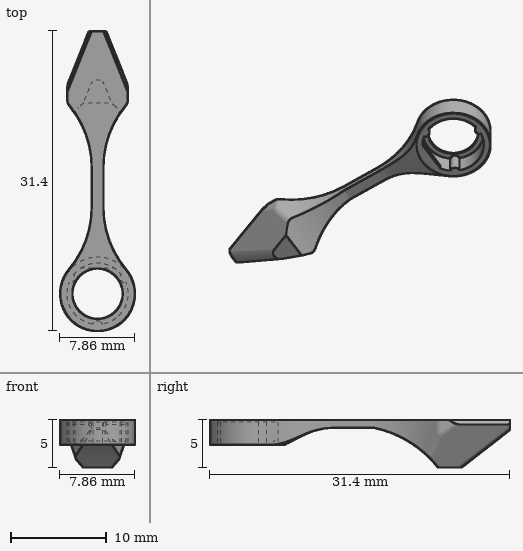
import cadquery as cq
import math

TIP_Y = 27.48
HEIGHT = 5.0

RING_RADIUS = 3.93
RING_DEPTH = 2.65
HOLE_RADIUS = 5.25 / 2
BORE_RADIUS = 3.2
LIP_THICKNESS = 0.22
FLAP_THICKNESS = 0.45
FLAP_Y = 2.7
RIB_TIP_RADIUS = 2.83
RIB_RADIUS = 0.53
RIB_ANGLES = (30, 150, 270)

ARM_HALF_WIDTH = 0.63
ARM_THICKNESS = 0.85
ARM_START_Y = 9.0
ARM_END_Y = 13.25
HEAD_FLARE_RADIUS = 10.05
HEAD_ARCH_MIDDLE = (16.52, -2.07)
RING_ARCH_RADIUS = 6.9
RING_ARCH_ANGLE = 27

HEAD_HALF_WIDTH = 3.17
TIP_HALF_WIDTH = 0.9
TIP_DEPTH = 1.05
KEEL_FRONT_Y = 22.4
KEEL_REAR_Y = 19.95
SIDE_ANGLE = math.atan(0.401)
RIM_DEPTH = 0.47
RIM_SETBACK = 0.28
UNDERCUT_SLOPE = 0.5
CORNER_FILLET = 0.82
TIP_FILLET = 0.25
UNDERCUT_FILLET = 0.8
TOLERANCE = 0.01


def flare_half_width(y):
    """Half width of the arm where it widens into the head."""
    rise = y - ARM_END_Y
    return ARM_HALF_WIDTH + HEAD_FLARE_RADIUS - math.sqrt(HEAD_FLARE_RADIUS**2 - rise**2)


def make_plan():
    """Top outline, extruded over the full height, with rounded head corners."""
    flare_drop = HEAD_HALF_WIDTH - ARM_HALF_WIDTH
    shoulder_y = ARM_END_Y + math.sqrt(flare_drop * (2 * HEAD_FLARE_RADIUS - flare_drop))
    middle_y = (ARM_END_Y + shoulder_y) / 2
    side_y = TIP_Y - (HEAD_HALF_WIDTH - TIP_HALF_WIDTH) / math.tan(SIDE_ANGLE)

    ring_flare_radius = (ARM_START_Y**2 + ARM_HALF_WIDTH**2 - RING_RADIUS**2) / (
        2 * (RING_RADIUS - ARM_HALF_WIDTH)
    )
    center_x = ARM_HALF_WIDTH + ring_flare_radius
    contact_angle = math.atan2(ARM_START_Y, center_x)
    contact = (RING_RADIUS * math.cos(contact_angle), RING_RADIUS * math.sin(contact_angle))
    ring_flare_middle = (
        center_x - ring_flare_radius * math.cos(contact_angle / 2),
        ARM_START_Y - ring_flare_radius * math.sin(contact_angle / 2),
    )

    half = (
        cq.Workplane("XY")
        .moveTo(0, -RING_RADIUS)
        .threePointArc((RING_RADIUS, 0), contact)
        .threePointArc(ring_flare_middle, (ARM_HALF_WIDTH, ARM_START_Y))
        .lineTo(ARM_HALF_WIDTH, ARM_END_Y)
        .threePointArc((flare_half_width(middle_y), middle_y), (HEAD_HALF_WIDTH, shoulder_y))
        .lineTo(HEAD_HALF_WIDTH, side_y)
        .lineTo(TIP_HALF_WIDTH, TIP_Y)
        .lineTo(0, TIP_Y)
        .close()
        .extrude(-HEIGHT)
    )
    plan = half.union(half.mirror("YZ")).clean()
    corners = (
        (HEAD_HALF_WIDTH, shoulder_y, CORNER_FILLET),
        (TIP_HALF_WIDTH, TIP_Y, TIP_FILLET),
    )
    for x, y, radius in corners:
        for side in (-1, 1):
            corner = cq.selectors.NearestToPointSelector((side * x, y, -HEIGHT / 2))
            plan = plan.edges("|Z").edges(corner).fillet(radius)
    return plan


def make_side_profile():
    """Side silhouette from the ring centre to the head tip, extruded across the part."""
    return (
        cq.Workplane("YZ")
        .moveTo(0, 0)
        .lineTo(TIP_Y, 0)
        .lineTo(TIP_Y, -TIP_DEPTH)
        .lineTo(KEEL_FRONT_Y, -HEIGHT)
        .lineTo(KEEL_REAR_Y, -HEIGHT)
        .threePointArc(HEAD_ARCH_MIDDLE, (ARM_END_Y, -ARM_THICKNESS))
        .lineTo(0, -ARM_THICKNESS)
        .close()
        .extrude(RING_RADIUS, both=True)
    )


def make_ring_profile():
    """Ring and arm root underside, revolved about the ring axis."""
    def arch_point(angle):
        radians = math.radians(angle)
        return (
            ARM_START_Y - RING_ARCH_RADIUS * math.sin(radians),
            -ARM_THICKNESS - RING_ARCH_RADIUS * (1 - math.cos(radians)),
        )

    arch_end = arch_point(RING_ARCH_ANGLE)
    cone_run = (RING_DEPTH + arch_end[1]) / math.tan(math.radians(RING_ARCH_ANGLE))
    return (
        cq.Workplane("XZ")
        .moveTo(0, 0)
        .lineTo(ARM_START_Y, 0)
        .lineTo(ARM_START_Y, -ARM_THICKNESS)
        .threePointArc(arch_point(RING_ARCH_ANGLE / 2), arch_end)
        .lineTo(arch_end[0] - cone_run, -RING_DEPTH)
        .lineTo(0, -RING_DEPTH)
        .close()
        .revolve(360, (0, 0, 0), (0, 1, 0))
    )


def make_undercut():
    """Material outside the +X head side: a sloped rim above and an inward slope below."""
    outward = (math.cos(SIDE_ANGLE), math.sin(SIDE_ANGLE), 0)
    along = (math.sin(SIDE_ANGLE), -math.cos(SIDE_ANGLE), 0)
    edge_plane = cq.Plane((TIP_HALF_WIDTH, TIP_Y, -RIM_DEPTH), outward, along)
    reach = 2 * RING_RADIUS
    length = TIP_Y - ARM_END_Y
    return (
        cq.Workplane(edge_plane)
        .polyline(
            [
                (0, 0),
                (-RIM_SETBACK, RIM_DEPTH),
                (reach, RIM_DEPTH),
                (reach, -HEIGHT),
                (-UNDERCUT_SLOPE * HEIGHT, -HEIGHT),
            ]
        )
        .close()
        .extrude(length, both=True)
    )


def is_rounded_border(edge):
    """True for undercut borders along the sloped keel and the head sides, not along the arch."""
    start = edge.startPoint()
    end = edge.endPoint()
    descends = abs(start.z - end.z) > RIM_DEPTH
    touches_keel_rear = any(
        abs(point.z + HEIGHT) < TOLERANCE and abs(point.y - KEEL_FRONT_Y) > TOLERANCE
        for point in (start, end)
    )
    return descends and not touches_keel_rear


def round_undercut(body, side):
    """Round the keel and rear borders of one undercut face."""
    undercut_normal_z = -UNDERCUT_SLOPE / math.hypot(1, UNDERCUT_SLOPE)
    for face in body.faces("%PLANE").vals():
        normal = face.normalAt()
        if normal.x * side > 0.5 and abs(normal.z - undercut_normal_z) < TOLERANCE:
            borders = [edge for edge in face.Edges() if is_rounded_border(edge)]
            return body.newObject(borders).fillet(UNDERCUT_FILLET)
    return body


def make_bore():
    """Stepped bore: thin top lip, wide bore with half-round ribs, flap across its arm side."""
    hole = cq.Workplane("XY").circle(HOLE_RADIUS).extrude(-LIP_THICKNESS)
    bore_top = cq.Workplane("XY").workplane(offset=-LIP_THICKNESS)
    bore = bore_top.circle(BORE_RADIUS).extrude(LIP_THICKNESS - RING_DEPTH)

    flap_plane = cq.Workplane("XY").workplane(offset=-RING_DEPTH)
    flap = (
        flap_plane.center(0, FLAP_Y + RING_RADIUS / 2)
        .rect(2 * RING_RADIUS, RING_RADIUS)
        .extrude(FLAP_THICKNESS)
    )
    bore = bore.cut(flap)

    rib = cq.Workplane("XY").center(RIB_TIP_RADIUS + RIB_RADIUS, 0).circle(RIB_RADIUS).extrude(-RING_DEPTH)
    for angle in RIB_ANGLES:
        bore = bore.cut(rib.rotate((0, 0, 0), (0, 0, 1), angle))
    return hole.union(bore)


undercut = make_undercut()
body = make_plan().intersect(make_side_profile().union(make_ring_profile()))
body = body.cut(undercut).cut(undercut.mirror("YZ"))
for side in (-1, 1):
    body = round_undercut(body, side)
result = body.cut(make_bore())